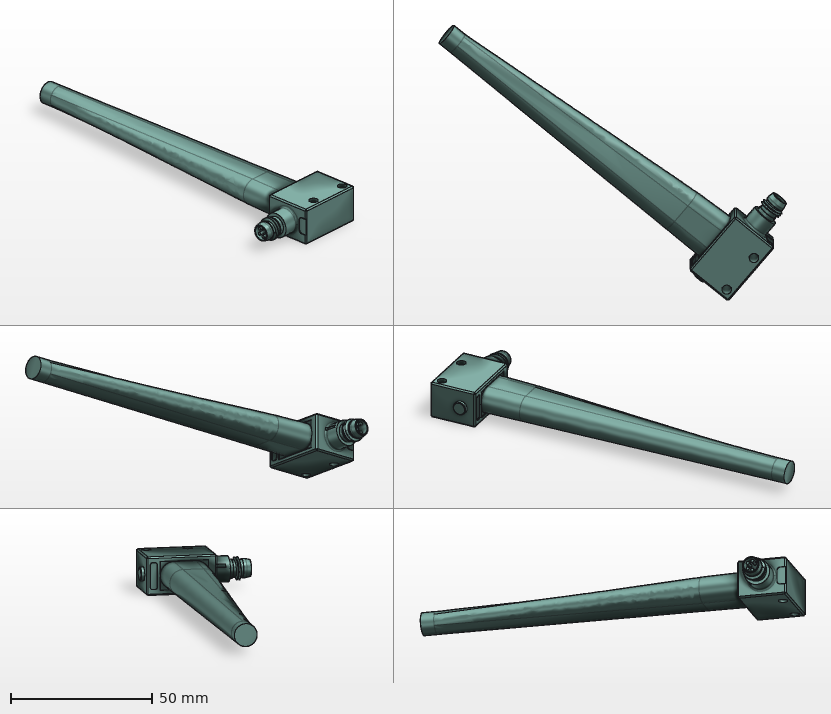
import cadquery as cq
import math


TOTAL_LENGTH = 137.9
BLOCK_LENGTH = 17.9
BLOCK_DEPTH = 25.5
BLOCK_HEIGHT = 13.9
BLOCK_BACK = 9.9
BLOCK_CHAMFER = 0.5
BLOCK_START = TOTAL_LENGTH - BLOCK_LENGTH
BLOCK_MID_X = TOTAL_LENGTH - BLOCK_LENGTH / 2
BLOCK_FRONT = BLOCK_BACK - BLOCK_DEPTH

HOLE_DIAMETER = 3.3
HOLE_END_MARGIN = 3.2
HOLE_BACK_MARGIN = 3.0
HOLE_PITCH = 15.0

TIP_RADIUS = 4.1
TIP_LENGTH = 5.0
TIP_NOSE_ANGLE = 30.0
JOINT_X = 105.0
JOINT_RADIUS = 4.8
JOINT_SPREAD = 7.5
ROOT_RADIUS = 5.0
ROOT_SPREAD = 8.0

POCKET_DEPTH = 0.4
ARM_POCKET_WIDTH = 17.5
ARM_POCKET_HEIGHT = 10.3
WINDOW_WIDTH = 2.5
WINDOW_HEIGHT = 9.7
WINDOW_CORNER = 0.8
WINDOW_MARGIN = 2.6

NOTCH_WIDTH = 3.3
NOTCH_HEIGHT = 6.3
NOTCH_DEPTH = 0.3
NOTCH_CORNER = 1.2

BUTTON_X = 125.6
BUTTON_RADIUS = 2.5
BUTTON_HEIGHT = 1.4
BUTTON_CHAMFER = 0.3

COLLAR_RADIUS = 4.7
COLLAR_END = 5.8
COLLAR_FILLET = 0.7
NECK_RADIUS = 3.5
GROOVE_START = 7.2
THREAD_START = 8.1
THREAD_TURNS = 2
THREAD_PITCH = 1.0
THREAD_RADIUS = 4.1
THREAD_FILL = 0.9
RIDGE_EMBED = 0.1
GROOVE_RADIUS = 3.2
GROOVE_END = 10.9
RING_END = 12.0
RING_RADIUS = NECK_RADIUS
NOSE_RADIUS = 3.0
CONNECTOR_LENGTH = 13.8
BORE_RADIUS = 2.6
BORE_DEPTH = 4.1
PIN_RADIUS = 0.5
PIN_LENGTH = 3.5
PIN_POSITIONS = [(-1.31, 1.03), (-1.31, -1.03), (0.4, 1.7), (0.4, -1.7)]
KEYWAY_WIDTH = 1.1
KEYWAY_DEPTH = 0.5
KEYWAY_LENGTH = 4.1
KEYWAY_Z = 1.9

OVERLAP = 0.7


def block():
    body = (
        cq.Workplane("XY")
        .box(BLOCK_LENGTH, BLOCK_DEPTH, BLOCK_HEIGHT)
        .edges()
        .chamfer(BLOCK_CHAMFER)
        .translate((BLOCK_MID_X, BLOCK_BACK - BLOCK_DEPTH / 2, 0))
    )
    hole_x = TOTAL_LENGTH - HOLE_END_MARGIN
    hole_y = BLOCK_BACK - HOLE_BACK_MARGIN
    holes = (
        cq.Workplane("XY")
        .pushPoints([(hole_x, hole_y), (hole_x, hole_y - HOLE_PITCH)])
        .circle(HOLE_DIAMETER / 2)
        .extrude(BLOCK_HEIGHT, both=True)
    )
    return body.cut(holes)


def side_pockets():
    """Pocket around the arm root and the display window, both in the -X side."""
    arm_pocket_y = ROOT_RADIUS - ARM_POCKET_WIDTH / 2
    arm_pocket = cq.Workplane("XY").box(2 * POCKET_DEPTH, ARM_POCKET_WIDTH, ARM_POCKET_HEIGHT)
    window = (
        cq.Workplane("XY")
        .box(2 * POCKET_DEPTH, WINDOW_WIDTH, WINDOW_HEIGHT)
        .edges("|X")
        .fillet(WINDOW_CORNER)
    )
    return arm_pocket.translate((BLOCK_START, arm_pocket_y, 0)).union(
        window.translate((BLOCK_START, BLOCK_BACK - WINDOW_MARGIN, 0))
    )


def corner_notch():
    """Recess in the -Y side that runs out through the +X side."""
    return (
        cq.Workplane("XY")
        .box(2 * NOTCH_WIDTH, 2 * NOTCH_DEPTH, NOTCH_HEIGHT)
        .edges("|Y")
        .fillet(NOTCH_CORNER)
        .translate((TOTAL_LENGTH, BLOCK_FRONT, 0))
    )


def arm_section(x, radius, spread, nose_angle):
    """Closed outline at station x: back half circle, two sides and a front nose arc.

    With no spread the sides are arcs of the same circle; otherwise they are straight.
    """
    def rim(angle, center_y):
        turn = math.radians(angle)
        return cq.Vector(x, center_y - radius * math.cos(turn), radius * math.sin(turn))

    def side(start_angle, end_angle, start_y, end_y):
        start = rim(start_angle, start_y)
        end = rim(end_angle, end_y)
        if spread > 0:
            return cq.Edge.makeLine(start, end)
        middle = rim((start_angle + end_angle) / 2, start_y)
        return cq.Edge.makeThreePointArc(start, middle, end)

    back = cq.Edge.makeThreePointArc(rim(-90, 0), rim(180, 0), rim(90, 0))
    upper = side(90, nose_angle, 0, -spread)
    nose = cq.Edge.makeThreePointArc(
        rim(nose_angle, -spread), rim(0, -spread), rim(-nose_angle, -spread)
    )
    lower = side(-nose_angle, -90, -spread, 0)
    return cq.Wire.assembleEdges([back, upper, nose, lower])


def arm():
    tip_end = arm_section(TIP_LENGTH, TIP_RADIUS, 0, TIP_NOSE_ANGLE)
    joint = arm_section(JOINT_X, JOINT_RADIUS, JOINT_SPREAD, 90)
    root = arm_section(BLOCK_START, ROOT_RADIUS, ROOT_SPREAD, 90)
    anchor = arm_section(BLOCK_START + OVERLAP, ROOT_RADIUS, ROOT_SPREAD, 90)
    body = cq.Workplane("YZ").circle(TIP_RADIUS).extrude(TIP_LENGTH)
    for start, end in [(tip_end, joint), (joint, root), (root, anchor)]:
        body = body.union(cq.Workplane(cq.Solid.makeLoft([start, end], True)))
    return body


def button():
    return (
        cq.Workplane("XY")
        .circle(BUTTON_RADIUS)
        .extrude(BUTTON_HEIGHT + OVERLAP)
        .faces(">Z")
        .chamfer(BUTTON_CHAMFER)
        .rotate((0, 0, 0), (1, 0, 0), -90)
        .translate((BUTTON_X, BLOCK_BACK - OVERLAP, 0))
    )


def thread():
    """Triangular helical ridge around the local Z axis."""
    half_width = THREAD_PITCH * THREAD_FILL / 2
    base_radius = GROOVE_RADIUS - RIDGE_EMBED
    helix = cq.Wire.makeHelix(THREAD_PITCH, THREAD_TURNS * THREAD_PITCH, base_radius)
    ridge = (
        cq.Workplane("XZ")
        .moveTo(base_radius, -half_width)
        .lineTo(THREAD_RADIUS, 0)
        .lineTo(base_radius, half_width)
        .close()
        .sweep(cq.Workplane(helix), isFrenet=True)
    )
    return ridge.translate((0, 0, THREAD_START))


def connector():
    """Connector built along local Z, then turned to point along -Y from the block."""
    flare_radius = COLLAR_RADIUS + COLLAR_FILLET
    body = (
        cq.Workplane("XZ")
        .moveTo(0, -OVERLAP)
        .lineTo(flare_radius, -OVERLAP)
        .lineTo(flare_radius, 0)
        .radiusArc((COLLAR_RADIUS, COLLAR_FILLET), COLLAR_FILLET)
        .lineTo(COLLAR_RADIUS, COLLAR_END)
        .lineTo(NECK_RADIUS, COLLAR_END)
        .lineTo(NECK_RADIUS, GROOVE_START)
        .lineTo(GROOVE_RADIUS, GROOVE_START)
        .lineTo(GROOVE_RADIUS, GROOVE_END)
        .lineTo(RING_RADIUS, GROOVE_END)
        .lineTo(RING_RADIUS, RING_END)
        .lineTo(NOSE_RADIUS, CONNECTOR_LENGTH)
        .lineTo(0, CONNECTOR_LENGTH)
        .close()
        .revolve(360, (0, 0), (0, 1))
    )
    bore_floor = CONNECTOR_LENGTH - BORE_DEPTH
    bore = cq.Workplane("XY", origin=(0, 0, bore_floor)).circle(BORE_RADIUS).extrude(BORE_DEPTH)
    pins = (
        cq.Workplane("XY", origin=(0, 0, bore_floor - OVERLAP))
        .pushPoints(PIN_POSITIONS)
        .circle(PIN_RADIUS)
        .extrude(PIN_LENGTH + OVERLAP)
    )
    keyway = (
        cq.Workplane("XY")
        .box(2 * KEYWAY_DEPTH, KEYWAY_WIDTH, KEYWAY_LENGTH, centered=(True, True, False))
        .translate((-math.sqrt(COLLAR_RADIUS**2 - KEYWAY_Z**2), KEYWAY_Z, 0))
    )
    return (
        body.union(thread())
        .cut(bore)
        .union(pins)
        .cut(keyway)
        .rotate((0, 0, 0), (1, 0, 0), 90)
        .translate((BLOCK_MID_X, BLOCK_FRONT, 0))
    )


result = (
    block()
    .cut(side_pockets())
    .cut(corner_notch())
    .union(arm())
    .union(button())
    .union(connector())
)